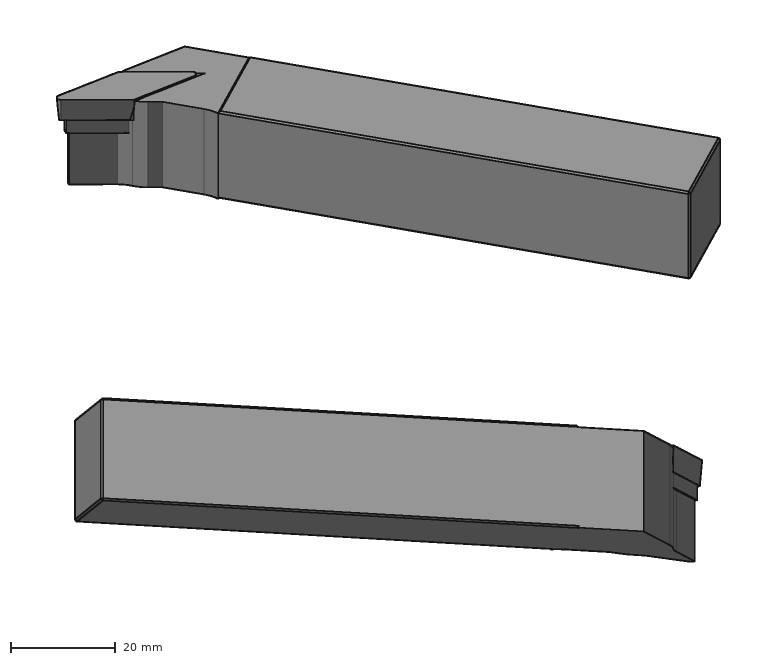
import cadquery as cq
import math

TOTAL_LENGTH = 125.0
SHANK_SIZE = 20.0
SHANK_START = 30.9
SHANK_CHAMFER = 0.4

ACUTE_ANGLE = 35.0
AXIS_ANGLE = 35.0
INSERT_CIRCLE_RADIUS = 4.8
NOSE_RADIUS = 0.8
INSERT_THICKNESS = 5.0
FLANK_ANGLE = 5.0
NOSE_REACH = 5.0

HEAD_HEIGHT = SHANK_SIZE - SHANK_CHAMFER
SEAT_TOP = SHANK_SIZE - INSERT_THICKNESS
SEAT_THICKNESS = 3.0
SEAT_INSET = 0.5
SEAT_TIP = 12.2
COLUMN_INSET = 0.81
COLUMN_TIP = 11.6
HEAD_OUTSET = 0.2
BEND_START = -1.8
BEND_END = 4.0
HEAD_RELIEF = 0.6
RELIEF_END = 27.9

HALF_ANGLE = math.radians(ACUTE_ANGLE / 2)
AXIS = math.radians(AXIS_ANGLE)
NOSE_CENTRE = (INSERT_CIRCLE_RADIUS - NOSE_RADIUS) / math.sin(HALF_ANGLE)
CENTRE_X = NOSE_CENTRE * math.cos(AXIS) + NOSE_RADIUS
CENTRE_Y = NOSE_CENTRE * math.sin(AXIS) + NOSE_RADIUS - NOSE_REACH
FRONT = -1
BACK = 1


def axis_point(along, across):
    """Point given along and across the long axis of the insert."""
    return (CENTRE_X + along * math.cos(AXIS) - across * math.sin(AXIS),
            CENTRE_Y + along * math.sin(AXIS) + across * math.cos(AXIS))


def edge_point(side, along, outward):
    """Point along one nose edge, at a distance from the insert centre."""
    return axis_point(along * math.cos(HALF_ANGLE) - outward * math.sin(HALF_ANGLE),
                      side * (along * math.sin(HALF_ANGLE) + outward * math.cos(HALF_ANGLE)))


def tip_point(side, tip_distance, edge_distance):
    """End of the blunt tip on one nose edge."""
    half_width = edge_distance / math.cos(HALF_ANGLE) - tip_distance * math.tan(HALF_ANGLE)
    return axis_point(-tip_distance, side * half_width)


def rhombus():
    long_half = INSERT_CIRCLE_RADIUS / math.sin(HALF_ANGLE)
    short_half = INSERT_CIRCLE_RADIUS / math.cos(HALF_ANGLE)
    corners = [axis_point(-long_half, 0), axis_point(0, -short_half),
               axis_point(long_half, 0), axis_point(0, short_half)]
    return cq.Workplane("XY").workplane(offset=SHANK_SIZE).polyline(corners).close()


def midpoint(start, end):
    return ((start[0] + end[0]) / 2, (start[1] + end[1]) / 2)


def make_insert():
    sharp_prism = rhombus().extrude(-INSERT_THICKNESS)
    rounded = sharp_prism.edges("|Z").edges("<X or >X").fillet(NOSE_RADIUS)
    outline = rounded.faces(">Z").wires().val()
    return (cq.Workplane("XY").workplane(offset=SHANK_SIZE).add(outline).toPending()
            .extrude(-INSERT_THICKNESS, taper=FLANK_ANGLE))


def make_shank():
    shank = cq.Workplane("XY").box(TOTAL_LENGTH - SHANK_START, SHANK_SIZE, SHANK_SIZE, centered=False)
    shank = shank.translate((SHANK_START, 0, 0))
    shank = shank.edges("|X or >X").chamfer(SHANK_CHAMFER)
    return shank.edges("<X and >Z").chamfer(SHANK_CHAMFER)


def make_head():
    column_edge = INSERT_CIRCLE_RADIUS - COLUMN_INSET
    head_edge = INSERT_CIRCLE_RADIUS + HEAD_OUTSET
    front_start = edge_point(FRONT, BEND_START, column_edge)
    front_end = edge_point(FRONT, BEND_END, head_edge)
    back_start = edge_point(BACK, BEND_START, column_edge)
    back_end = edge_point(BACK, BEND_END, head_edge)

    front_slope = math.tan(AXIS - HALF_ANGLE)
    back_slope = math.tan(AXIS + HALF_ANGLE)
    relief_start_x = front_end[0] + (HEAD_RELIEF - front_end[1]) / front_slope
    back_corner_x = back_end[0] + (SHANK_SIZE - back_end[1]) / back_slope

    return (
        cq.Workplane("XY")
        .moveTo(*tip_point(FRONT, COLUMN_TIP, column_edge))
        .lineTo(*front_start)
        .tangentArcPoint(midpoint(front_start, front_end), relative=False)
        .tangentArcPoint(front_end, relative=False)
        .lineTo(relief_start_x, HEAD_RELIEF)
        .lineTo(RELIEF_END, HEAD_RELIEF)
        .tangentArcPoint((SHANK_START, 0), relative=False)
        .lineTo(SHANK_START, SHANK_SIZE)
        .lineTo(back_corner_x, SHANK_SIZE)
        .lineTo(*back_end)
        .tangentArcPoint(midpoint(back_end, back_start), relative=False)
        .tangentArcPoint(back_start, relative=False)
        .lineTo(*tip_point(BACK, COLUMN_TIP, column_edge))
        .close()
        .extrude(HEAD_HEIGHT)
    )


def make_seat():
    seat_edge = INSERT_CIRCLE_RADIUS - SEAT_INSET
    outline = [tip_point(FRONT, SEAT_TIP, seat_edge), axis_point(0, -seat_edge / math.cos(HALF_ANGLE)),
               axis_point(SEAT_TIP, 0), axis_point(0, seat_edge / math.cos(HALF_ANGLE)),
               tip_point(BACK, SEAT_TIP, seat_edge)]
    return (cq.Workplane("XY").workplane(offset=SEAT_TOP - SEAT_THICKNESS)
            .polyline(outline).close().extrude(SEAT_THICKNESS))


def make_holder():
    pocket = rhombus().extrude(-INSERT_THICKNESS, taper=FLANK_ANGLE)
    return make_shank().union(make_head()).cut(pocket).union(make_seat())


holder = make_holder()
insert = make_insert()
result = cq.Compound.makeCompound([holder.val(), insert.val()])